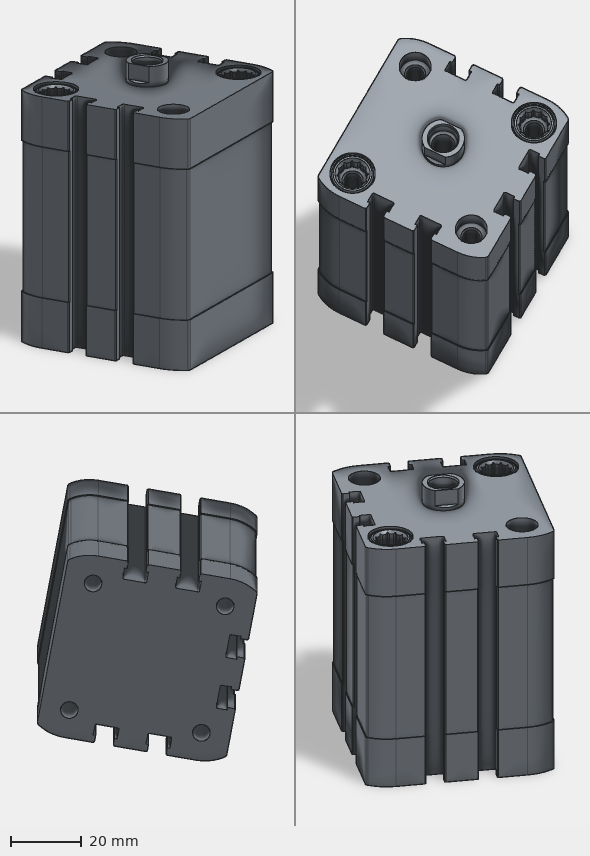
import cadquery as cq
import math

cap_width = 54.5
body_inset = 0.3
cap_height = 15.0
housing_height = 75.0
corner_offset = 19.0
corner_radius = 14.0
corner_edge_fillet = 1.2

slot_offset = 7.6
slot_mouth_width = 5.4
slot_inner_width = 6.9
slot_lip_depth = 2.25
slot_depth = 5.45
slot_mouth_radius = 0.3
slot_corner_radius = 0.5

through_diameter = 4.92
through_chamfer_diameter = 6.0
bore_diameter = 9.0
bore_depth = 5.0

socket_count = 12
socket_rim_diameter = 12.8
socket_rim_depth = 0.9
head_diameter = 11.9
head_chamfer = 0.45
head_top_depth = 0.35
socket_cone_diameter = 9.9
socket_tip_radius = 4.45
socket_land_radius = 4.05
socket_land_half_angle = 8.0
socket_depth = 4.65

rod_diameter = 12.0
rod_projection = 6.1
rod_embedded_length = 30.0
rod_flat_width = 10.0
rod_flat_length = 4.75
rod_flat_slope = 20.0
rod_mouth_diameter = 9.0
rod_bore_diameter = 8.4
rod_bore_depth = 3.7
rod_thread_diameter = 6.65
rod_thread_depth = 20.0
rod_mouth_angle = 60.0
rod_step_angle = 120.0
drill_point_angle = 118.0

rod_top = housing_height + rod_projection
rod_bottom = housing_height - rod_embedded_length


def profile_block(inset, base, height):
    """Square block with two flat sides in X and large corner arcs running into them."""
    half = cap_width / 2 - inset
    radius = corner_radius - inset
    centre_y = cap_width / 2 - corner_radius
    end_y = centre_y + math.sqrt(radius**2 - (half - corner_offset) ** 2)
    block = (
        cq.Workplane("XY")
        .workplane(offset=base)
        .moveTo(-corner_offset, half)
        .lineTo(corner_offset, half)
        .radiusArc((half, end_y), radius)
        .lineTo(half, -end_y)
        .radiusArc((corner_offset, -half), radius)
        .lineTo(-corner_offset, -half)
        .radiusArc((-half, -end_y), radius)
        .lineTo(-half, end_y)
        .radiusArc((-corner_offset, half), radius)
        .close()
        .extrude(height)
    )
    return block.edges("|Z and (>X or <X)").fillet(corner_edge_fillet)


def slot_cutter(inset, base, height):
    """Pair of T-slots in the +X side, with rounded mouth edges and rounded inner corners."""
    face = cap_width / 2 - inset
    lip = cap_width / 2 - slot_lip_depth
    floor = cap_width / 2 - slot_depth
    mouth = slot_mouth_width / 2
    chamber = slot_inner_width / 2
    flare = slot_mouth_radius
    corner = slot_corner_radius
    slot = (
        cq.Workplane("XY")
        .workplane(offset=base)
        .moveTo(face, mouth + flare)
        .radiusArc((face - flare, mouth), -flare)
        .lineTo(lip, mouth)
        .lineTo(lip, chamber)
        .lineTo(floor + corner, chamber)
        .radiusArc((floor, chamber - corner), -corner)
        .lineTo(floor, -chamber + corner)
        .radiusArc((floor + corner, -chamber), -corner)
        .lineTo(lip, -chamber)
        .lineTo(lip, -mouth)
        .lineTo(face - flare, -mouth)
        .radiusArc((face, -mouth - flare), -flare)
        .close()
        .extrude(height)
    )
    return slot.translate((0, slot_offset, 0)).union(slot.translate((0, -slot_offset, 0)))


def housing_section(inset, base, height):
    """One length of the housing, slotted on the +Y, -X and -Y sides."""
    section = profile_block(inset, base, height)
    slots = slot_cutter(inset, base, height)
    for side_angle in (90, 180, 270):
        section = section.cut(slots.rotate((0, 0, 0), (0, 0, 1), side_angle))
    return section


def revolved_cutter(profile, top):
    """Solid of revolution about Z from (radius, depth below top) points that start and end on the axis."""
    points = [(radius, top - depth) for radius, depth in profile]
    return cq.Workplane("XZ").polyline(points).close().revolve(360, (0, 0), (0, 1))


def through_profile(floor_depth):
    """Chamfered through hole that starts in the floor at floor_depth."""
    through_radius = through_diameter / 2
    chamfer_radius = through_chamfer_diameter / 2
    return [
        (chamfer_radius, floor_depth),
        (through_radius, floor_depth + chamfer_radius - through_radius),
        (through_radius, housing_height),
        (0, housing_height),
    ]


def counterbored_hole():
    bore_radius = bore_diameter / 2
    profile = [(0, 0), (bore_radius, 0), (bore_radius, bore_depth)]
    return revolved_cutter(profile + through_profile(bore_depth), housing_height)


def socket_hole():
    """Twelve-point socket in a round head that stands in a shallow recess, above a through hole."""
    head_radius = head_diameter / 2
    cone_radius = socket_cone_diameter / 2
    cone_end_depth = head_top_depth + cone_radius - socket_land_radius
    recess = (
        cq.Workplane("XY")
        .workplane(offset=housing_height - socket_rim_depth)
        .circle(socket_rim_diameter / 2)
        .extrude(socket_rim_depth)
    )
    head = (
        cq.Workplane("XY")
        .workplane(offset=housing_height - socket_rim_depth)
        .circle(head_radius)
        .extrude(socket_rim_depth - head_top_depth)
        .faces(">Z")
        .chamfer(head_chamfer)
    )
    profile = [
        (0, head_top_depth),
        (cone_radius, head_top_depth),
        (socket_land_radius, cone_end_depth),
        (socket_land_radius, socket_depth),
    ]
    turned = revolved_cutter(profile + through_profile(socket_depth), housing_height)

    pitch = 360 / socket_count
    outline = []
    for index in range(socket_count):
        tip_angle = index * pitch
        land_angle = tip_angle + pitch / 2
        for radius, angle in (
            (socket_tip_radius, tip_angle),
            (socket_land_radius, land_angle - socket_land_half_angle),
            (socket_land_radius, land_angle + socket_land_half_angle),
        ):
            turn = math.radians(angle)
            outline.append((radius * math.cos(turn), radius * math.sin(turn)))
    points = (
        cq.Workplane("XY")
        .workplane(offset=housing_height - socket_depth)
        .polyline(outline)
        .close()
        .extrude(socket_depth - head_top_depth)
    )
    return recess.cut(head).union(turned).union(points)


def rod_blank():
    """Plain round rod, also used to cut its matching hole in the housing."""
    rod_length = rod_top - rod_bottom
    return cq.Workplane("XY").workplane(offset=rod_bottom).circle(rod_diameter / 2).extrude(rod_length)


def build_housing():
    body_height = housing_height - 2 * cap_height
    housing = housing_section(0, 0, cap_height)
    housing = housing.union(housing_section(body_inset, cap_height, body_height))
    housing = housing.union(housing_section(0, housing_height - cap_height, cap_height))
    for side in (-1, 1):
        x = side * corner_offset
        housing = housing.cut(socket_hole().translate((x, x, 0)))
        housing = housing.cut(counterbored_hole().translate((x, -x, 0)))
    return housing.cut(rod_blank())


def wrench_flat_cutter():
    """Material removed on the +Y side of the rod; its floor slopes down to the outside."""
    flat_y = rod_flat_width / 2
    outer_y = rod_diameter / 2
    floor_z = rod_top - rod_flat_length
    outer_floor_z = floor_z - (outer_y - flat_y) * math.tan(math.radians(rod_flat_slope))
    return (
        cq.Workplane("YZ")
        .polyline([(flat_y, rod_top), (flat_y, floor_z), (outer_y, outer_floor_z), (outer_y, rod_top)])
        .close()
        .extrude(rod_diameter / 2, both=True)
    )


def rod_thread_cutter():
    """Stepped blind hole in the rod end, with a chamfered mouth and a drill point."""
    mouth_radius = rod_mouth_diameter / 2
    bore_radius = rod_bore_diameter / 2
    thread_radius = rod_thread_diameter / 2
    mouth_length = (mouth_radius - bore_radius) / math.tan(math.radians(rod_mouth_angle / 2))
    step_length = (bore_radius - thread_radius) / math.tan(math.radians(rod_step_angle / 2))
    point_length = thread_radius / math.tan(math.radians(drill_point_angle / 2))
    profile = [
        (0, 0),
        (mouth_radius, 0),
        (bore_radius, mouth_length),
        (bore_radius, rod_bore_depth),
        (thread_radius, rod_bore_depth + step_length),
        (thread_radius, rod_thread_depth),
        (0, rod_thread_depth + point_length),
    ]
    return revolved_cutter(profile, rod_top)


def build_rod():
    flat = wrench_flat_cutter()
    rod = rod_blank().cut(flat).cut(flat.mirror("XZ"))
    return rod.cut(rod_thread_cutter())


housing = build_housing()
piston_rod = build_rod()

result = cq.Compound.makeCompound([housing.val(), piston_rod.val()])